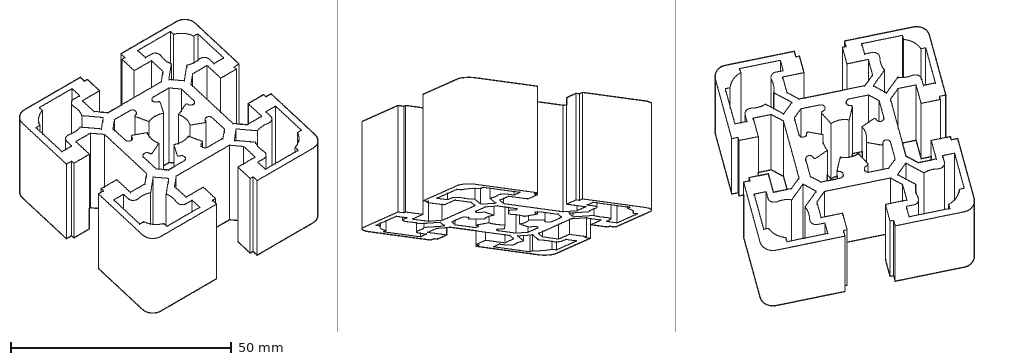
import cadquery as cq
import math

side = 50.0
half = side / 2
length = 25.0
corner_radius = 3.0

mouth_half_width = 5.0
step_half_width = 5.85
step_depth = 1.5
lip_depth = 6.0
slot_half_width = 10.0
slot_depth = 12.5
slot_chamfer = 2.3

skin = 1.6
disc_inset = 7.5
disc_radius = 5.0
web_inset = 6.0
pocket_end_inset = 15.5
shelf_inset = 4.4
neck_inset = 12.35
neck_radius = 1.4
diagonal_slot_width = 3.55
diagonal_slot_end = 20.15

core_half_width = 9.9
core_chamfer = 2.0
bore_radius = 5.0
tab_half_angle = math.radians(25)
relief_radius = 0.9
relief_offset = 3.4
shoulder_radius = 0.35
tab_root_overlap = 0.5


def mirrored(points):
    """Reflect points across the X axis."""
    return [(x, -y) for x, y in points]


def swapped(point):
    """Reflect a point across the corner diagonal."""
    return (point[1], point[0])


def around_axis(body):
    """Four copies of a body, a quarter turn apart."""
    copies = cq.Workplane("XY")
    for turn in range(4):
        copies = copies.add(body.rotate((0, 0, 0), (0, 0, 1), 90 * turn))
    return copies.combine()


def slot_cutter():
    """T-slot opening toward +X, with a stepped mouth and a chamfered floor."""
    upper = [
        (half, step_half_width),
        (half - step_depth, step_half_width),
        (half - step_depth, mouth_half_width),
        (half - lip_depth, mouth_half_width),
        (half - lip_depth, slot_half_width),
        (half - slot_depth + slot_chamfer, slot_half_width),
        (half - slot_depth, slot_half_width - slot_chamfer),
    ]
    outline = upper + mirrored(upper)[::-1]
    return cq.Workplane("XY").polyline(outline).close().extrude(length)


def corner_cutter():
    """Hollow of the -X -Y corner, symmetric about the corner diagonal."""
    web_reach = math.sqrt(disc_radius**2 - (disc_inset - web_inset) ** 2)
    web_end = (web_inset, disc_inset - web_reach)
    neck_reach = math.sqrt(disc_radius**2 - (neck_inset - disc_inset) ** 2)
    neck_end = (neck_inset, disc_inset - neck_reach)
    slot_half = diagonal_slot_width / 2
    along = math.sqrt(disc_radius**2 - slot_half**2)
    slot_start = (
        disc_inset + (along + slot_half) / math.sqrt(2),
        disc_inset + (along - slot_half) / math.sqrt(2),
    )
    slot_corner = (
        (diagonal_slot_end + slot_half) / math.sqrt(2),
        (diagonal_slot_end - slot_half) / math.sqrt(2),
    )

    skin_start = (web_inset, skin)
    skin_end = (pocket_end_inset, skin)
    shelf_start = (pocket_end_inset, shelf_inset)
    shelf_end = (neck_inset + neck_radius, shelf_inset)
    round_middle = (
        neck_inset + neck_radius * (1 - math.sqrt(0.5)),
        shelf_inset + neck_radius * (1 - math.sqrt(0.5)),
    )
    neck_start = (neck_inset, shelf_inset + neck_radius)
    disc_side = (disc_inset + disc_radius, disc_inset)
    web_middle = disc_inset - disc_radius * math.sqrt(0.5)

    hollow = (
        cq.Workplane("XY", origin=(-half, -half, 0))
        .moveTo(*web_end)
        .lineTo(*skin_start)
        .lineTo(*skin_end)
        .lineTo(*shelf_start)
        .lineTo(*shelf_end)
        .threePointArc(round_middle, neck_start)
        .lineTo(*neck_end)
        .threePointArc(disc_side, slot_start)
        .lineTo(*slot_corner)
        .lineTo(*swapped(slot_corner))
        .lineTo(*swapped(slot_start))
        .threePointArc(swapped(disc_side), swapped(neck_end))
        .lineTo(*swapped(neck_start))
        .threePointArc(swapped(round_middle), swapped(shelf_end))
        .lineTo(*swapped(shelf_start))
        .lineTo(*swapped(skin_end))
        .lineTo(*swapped(skin_start))
        .lineTo(*swapped(web_end))
        .threePointArc((web_middle, web_middle), web_end)
        .close()
    )
    return hollow.extrude(length)


def core_tab():
    """Tab on the +X wall of the core: radial flanks, bore arc and a relief beside each root."""
    relief_x = core_half_width - relief_radius
    relief_along = relief_x * math.cos(tab_half_angle) + relief_offset * math.sin(tab_half_angle)
    relief_aside = relief_x * math.sin(tab_half_angle) - relief_offset * math.cos(tab_half_angle)
    shoulder_reach = relief_along - math.sqrt(relief_radius**2 - relief_aside**2)

    def on_flank(reach):
        return (reach * math.cos(tab_half_angle), reach * math.sin(tab_half_angle))

    tip = on_flank(bore_radius)
    shoulder = on_flank(shoulder_reach)
    relief_bottom = (relief_x, relief_offset - relief_radius)
    root = (core_half_width, relief_offset)
    buried = (core_half_width + tab_root_overlap, relief_offset)
    low_tip, low_shoulder, low_bottom, low_root, low_buried = mirrored(
        [tip, shoulder, relief_bottom, root, buried]
    )

    tab = (
        cq.Workplane("XY")
        .moveTo(*tip)
        .lineTo(*shoulder)
        .threePointArc(relief_bottom, root)
        .lineTo(*buried)
        .lineTo(*low_buried)
        .lineTo(*low_root)
        .threePointArc(low_bottom, low_shoulder)
        .lineTo(*low_tip)
        .threePointArc((bore_radius, 0), tip)
        .close()
        .extrude(length)
    )
    for x, y in (shoulder, low_shoulder):
        tab = tab.edges(cq.selectors.NearestToPointSelector((x, y, length / 2))).fillet(shoulder_radius)
    return tab


block = cq.Workplane("XY").rect(side, side).extrude(length).edges("|Z").fillet(corner_radius)
core = (
    cq.Workplane("XY")
    .rect(2 * core_half_width, 2 * core_half_width)
    .extrude(length)
    .edges("|Z")
    .chamfer(core_chamfer)
)

result = (
    block.cut(around_axis(slot_cutter()))
    .cut(around_axis(corner_cutter()))
    .cut(core)
    .union(around_axis(core_tab()))
)